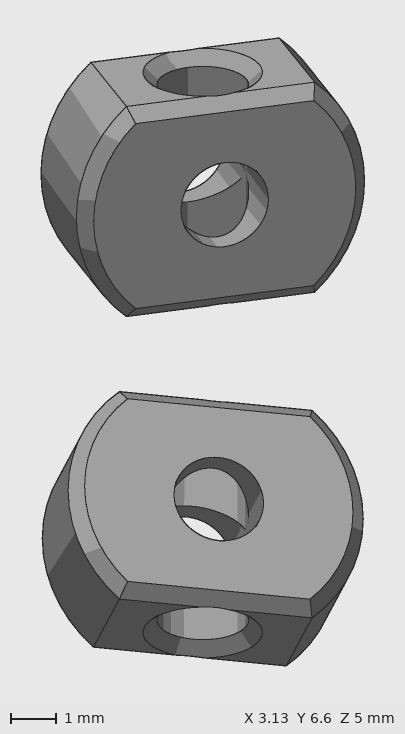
import cadquery as cq

thickness = 3.125
disc_diameter = 6.6
height = 5.0
hole_diameter = 2.0
edge_chamfer = 0.3

hole_radius = hole_diameter / 2
countersink_radius = hole_radius + edge_chamfer


def body():
    """Disc on the X axis, trimmed by two flats, with both faces chamfered all round."""
    disc = cq.Workplane("YZ").circle(disc_diameter / 2).extrude(thickness / 2, both=True)
    flats = cq.Workplane("XY").box(thickness, disc_diameter, height)
    return disc.intersect(flats).faces("<X or >X").chamfer(edge_chamfer)


def axle_hole():
    """Plain through hole along X."""
    return cq.Workplane("YZ").circle(hole_radius).extrude(thickness / 2, both=True)


def screw_hole():
    """Through hole along Z, revolved with a 45 degree countersink at each flat."""
    top = height / 2
    neck = top - edge_chamfer
    profile = [
        (0, -top),
        (countersink_radius, -top),
        (hole_radius, -neck),
        (hole_radius, neck),
        (countersink_radius, top),
        (0, top),
    ]
    return cq.Workplane("XZ").polyline(profile).close().revolve(360, (0, 0), (0, 1))


result = body().cut(axle_hole()).cut(screw_hole())